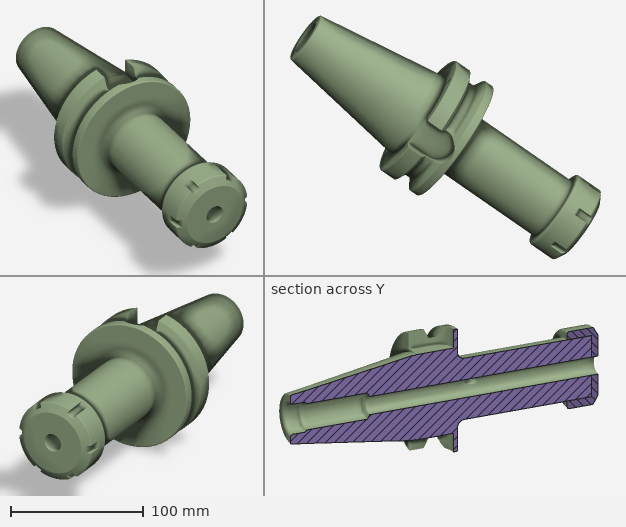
import math
import cadquery as cq

TOTAL_LENGTH = 256.5

GAUGE_RADIUS = 35.0
TAPER_RATIO = 7 / 48
TAPER_LENGTH = 101.8
TAPER_END_RADIUS = GAUGE_RADIUS - TAPER_RATIO * TAPER_LENGTH
TAPER_END_CHAMFER = 0.8
RELIEF_RADIUS = 34.5

FLANGE_RADIUS = 50.0
FLANGE_FRONT = 105.0
FLANGE_BACK = 139.5
FLANGE_CHAMFER = 0.8
FLANGE_BACK_FILLET = 1.0
GROOVE_START = 117.5
GROOVE_FLOOR_START = 121.5
GROOVE_FLOOR_END = 128.0
GROOVE_END = 132.5
GROOVE_RADIUS = 42.3

SLOT_HALF_WIDTH = 12.8
SLOT_FLOOR_HEIGHT = 35.0
SLOT_END = 136.0

COOLANT_RADIUS = 3.0
COOLANT_PITCH_RADIUS = 41.5
COOLANT_POSITION_ANGLE = 20.0
COOLANT_SLANT = 35.0

NECK_RADIUS = 25.1
NECK_FILLET = 5.5

BORE_RADIUS = 7.2
TAP_RADIUS = 10.5
TAP_DEPTH = 64.0
DRILL_TIP_ANGLE = 60.0
PILOT_RADIUS = 12.0
PILOT_DEPTH = 12.0
PILOT_MOUTH_FILLET = 2.3

NUT_RADIUS = 31.5
NUT_START = 230.5
NUT_REAR_FILLET = 2.0
NUT_CONE_START = 252.5
NUT_FACE_RADIUS = 24.5
NUT_CONE_FILLET = 1.3
NUT_FACE_THICKNESS = 5.1
NECK_END = TOTAL_LENGTH - NUT_FACE_THICKNESS

SPANNER_SLOT_COUNT = 6
SPANNER_SLOT_WIDTH = 6.5
SPANNER_FLOOR_RADIUS = 27.7
SPANNER_RUNOUT = 2.8
SPANNER_SLOT_START = 241.4
LONG_SLOT_START = 234.5
LONG_SLOT_INDEX = 1


def revolve_about_x(profile):
    """Turn a closed (x, radius) profile about the X axis."""
    return profile.close().revolve(360, (0, 0, 0), (1, 0, 0))


def holder_blank():
    """Taper, relief, grooved flange and neck as one turned blank."""
    profile = (
        cq.Workplane("XY")
        .moveTo(0, 0)
        .lineTo(0, TAPER_END_RADIUS - TAPER_END_CHAMFER)
        .lineTo(TAPER_END_CHAMFER, TAPER_END_RADIUS + TAPER_RATIO * TAPER_END_CHAMFER)
        .lineTo(TAPER_LENGTH, GAUGE_RADIUS)
        .lineTo(TAPER_LENGTH, RELIEF_RADIUS)
        .lineTo(FLANGE_FRONT, RELIEF_RADIUS)
        .lineTo(FLANGE_FRONT, FLANGE_RADIUS - FLANGE_CHAMFER)
        .lineTo(FLANGE_FRONT + FLANGE_CHAMFER, FLANGE_RADIUS)
        .lineTo(GROOVE_START, FLANGE_RADIUS)
        .lineTo(GROOVE_FLOOR_START, GROOVE_RADIUS)
        .lineTo(GROOVE_FLOOR_END, GROOVE_RADIUS)
        .lineTo(GROOVE_END, FLANGE_RADIUS)
        .lineTo(FLANGE_BACK - FLANGE_BACK_FILLET, FLANGE_RADIUS)
        .radiusArc((FLANGE_BACK, FLANGE_RADIUS - FLANGE_BACK_FILLET), FLANGE_BACK_FILLET)
        .lineTo(FLANGE_BACK, NECK_RADIUS + NECK_FILLET)
        .radiusArc((FLANGE_BACK + NECK_FILLET, NECK_RADIUS), -NECK_FILLET)
        .lineTo(NECK_END, NECK_RADIUS)
        .lineTo(NECK_END, 0)
    )
    return revolve_about_x(profile)


def holder_bore():
    """Pull-stud socket with rounded mouth, tapped hole and through bore."""
    tip_length = (TAP_RADIUS - BORE_RADIUS) / math.tan(math.radians(DRILL_TIP_ANGLE))
    pilot_step = PILOT_RADIUS - TAP_RADIUS
    profile = (
        cq.Workplane("XY")
        .moveTo(0, 0)
        .lineTo(0, PILOT_RADIUS + PILOT_MOUTH_FILLET)
        .radiusArc((PILOT_MOUTH_FILLET, PILOT_RADIUS), -PILOT_MOUTH_FILLET)
        .lineTo(PILOT_DEPTH, PILOT_RADIUS)
        .lineTo(PILOT_DEPTH + pilot_step, TAP_RADIUS)
        .lineTo(TAP_DEPTH, TAP_RADIUS)
        .lineTo(TAP_DEPTH + tip_length, BORE_RADIUS)
        .lineTo(TOTAL_LENGTH, BORE_RADIUS)
        .lineTo(TOTAL_LENGTH, 0)
    )
    return revolve_about_x(profile)


def drive_slot(side):
    """Round-ended slot in the flange; side is +1 for the top, -1 for the bottom."""
    arc_centre = SLOT_END - SLOT_HALF_WIDTH
    return (
        cq.Workplane("XY", origin=(0, 0, side * SLOT_FLOOR_HEIGHT))
        .moveTo(TAPER_LENGTH, -SLOT_HALF_WIDTH)
        .lineTo(arc_centre, -SLOT_HALF_WIDTH)
        .threePointArc((SLOT_END, 0), (arc_centre, SLOT_HALF_WIDTH))
        .lineTo(TAPER_LENGTH, SLOT_HALF_WIDTH)
        .close()
        .extrude(side * FLANGE_RADIUS)
    )


def coolant_hole(side):
    """Slanted hole; side is +1 for the +Y hole, -1 for the opposite one."""
    slant = math.radians(COOLANT_SLANT)
    position = math.radians(COOLANT_POSITION_ANGLE)
    outward = cq.Vector(0, side * math.cos(position), side * math.sin(position))
    direction = cq.Vector(math.cos(slant), 0, 0) - outward * math.sin(slant)
    mouth = cq.Vector(FLANGE_FRONT, 0, 0) + outward * COOLANT_PITCH_RADIUS
    lead_in = 2 * COOLANT_RADIUS
    length = lead_in + (COOLANT_PITCH_RADIUS - BORE_RADIUS / 2) / math.sin(slant)
    hole = cq.Solid.makeCylinder(COOLANT_RADIUS, length, mouth - direction * lead_in, direction)
    return cq.Workplane("XY").newObject([hole])


def make_holder():
    holder = holder_blank().cut(holder_bore())
    for side in (1, -1):
        holder = holder.cut(drive_slot(side))
        holder = holder.cut(coolant_hole(side))
    return holder


def nut_blank():
    """Turned nut with a recess for the neck and a through hole in its face."""
    profile = (
        cq.Workplane("XY")
        .moveTo(NUT_START, NECK_RADIUS)
        .lineTo(NUT_START, NUT_RADIUS - NUT_REAR_FILLET)
        .radiusArc((NUT_START + NUT_REAR_FILLET, NUT_RADIUS), NUT_REAR_FILLET)
        .lineTo(NUT_CONE_START, NUT_RADIUS)
        .lineTo(TOTAL_LENGTH, NUT_FACE_RADIUS)
        .lineTo(TOTAL_LENGTH, BORE_RADIUS)
        .lineTo(NECK_END, BORE_RADIUS)
        .lineTo(NECK_END, NECK_RADIUS)
    )
    blank = revolve_about_x(profile)
    cone_edge = cq.selectors.RadiusNthSelector(-1)
    return blank.edges("%CIRCLE").edges(cone_edge).edges(">X").fillet(NUT_CONE_FILLET)


def spanner_slot(start, angle):
    """Flat-floored slot with a sloping end, turned about X from the +Y side."""
    return (
        cq.Workplane("XY")
        .moveTo(start, NUT_RADIUS)
        .lineTo(start + SPANNER_RUNOUT, SPANNER_FLOOR_RADIUS)
        .lineTo(TOTAL_LENGTH, SPANNER_FLOOR_RADIUS)
        .lineTo(TOTAL_LENGTH, NUT_RADIUS)
        .close()
        .extrude(SPANNER_SLOT_WIDTH / 2, both=True)
        .rotate((0, 0, 0), (1, 0, 0), angle)
    )


def make_nut():
    nut = nut_blank()
    for index in range(SPANNER_SLOT_COUNT):
        start = LONG_SLOT_START if index == LONG_SLOT_INDEX else SPANNER_SLOT_START
        nut = nut.cut(spanner_slot(start, index * 360 / SPANNER_SLOT_COUNT))
    return nut


holder = make_holder()
nut = make_nut()
result = cq.Compound.makeCompound([holder.val(), nut.val()])